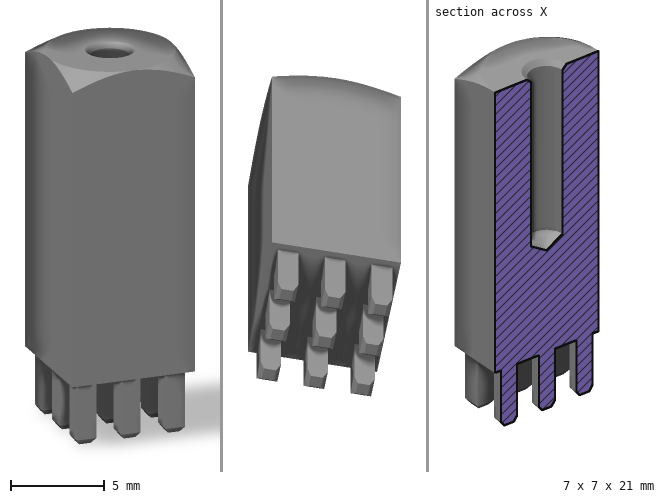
import cadquery as cq
import math

total_height = 21.0
body_width = 7.0
pin_length = 3.5
body_height = total_height - pin_length
crown_angle = 30.0

hole_diameter = 2.08
countersink_diameter = 2.67
hole_depth = 10.5
drill_tip_angle = 118.0

pin_count = 3
pin_pitch = 2.55
pin_width = 1.11
pin_tip_width = 0.65
pin_tip_height = 0.32


def make_body():
    """Square post whose four top corners are cut back by a cone."""
    post = cq.Workplane("XY").box(body_width, body_width, body_height, centered=(True, True, False))
    top_radius = body_width / 2
    corner_radius = top_radius * math.sqrt(2)
    crown_drop = (corner_radius - top_radius) * math.tan(math.radians(crown_angle))
    envelope = (
        cq.Workplane("XZ")
        .moveTo(0, 0)
        .lineTo(corner_radius, 0)
        .lineTo(corner_radius, body_height - crown_drop)
        .lineTo(top_radius, body_height)
        .lineTo(0, body_height)
        .close()
        .revolve(360, (0, 0, 0), (0, 1, 0))
    )
    return post.intersect(envelope)


def make_hole():
    """Blind hole with a 45 degree countersink and a conical bottom."""
    radius = hole_diameter / 2
    countersink_radius = countersink_diameter / 2
    countersink_depth = countersink_radius - radius
    tip_depth = radius / math.tan(math.radians(drill_tip_angle / 2))
    floor = body_height - hole_depth
    return (
        cq.Workplane("XZ")
        .moveTo(0, body_height)
        .lineTo(countersink_radius, body_height)
        .lineTo(radius, body_height - countersink_depth)
        .lineTo(radius, floor)
        .lineTo(0, floor - tip_depth)
        .close()
        .revolve(360, (0, 0, 0), (0, 1, 0))
    )


def make_pins():
    """Grid of square pins, each ending in a short tapered tip."""
    shank_length = pin_length - pin_tip_height
    grid = cq.Workplane("XY").rarray(pin_pitch, pin_pitch, pin_count, pin_count)
    shanks = grid.rect(pin_width, pin_width).extrude(-shank_length)
    taper = math.degrees(math.atan((pin_width - pin_tip_width) / 2 / pin_tip_height))
    tips = (
        cq.Workplane("XY", origin=(0, 0, -shank_length))
        .rarray(pin_pitch, pin_pitch, pin_count, pin_count)
        .rect(pin_width, pin_width)
        .extrude(-pin_tip_height, taper=taper)
    )
    return shanks.union(tips)


result = make_body().cut(make_hole()).union(make_pins())